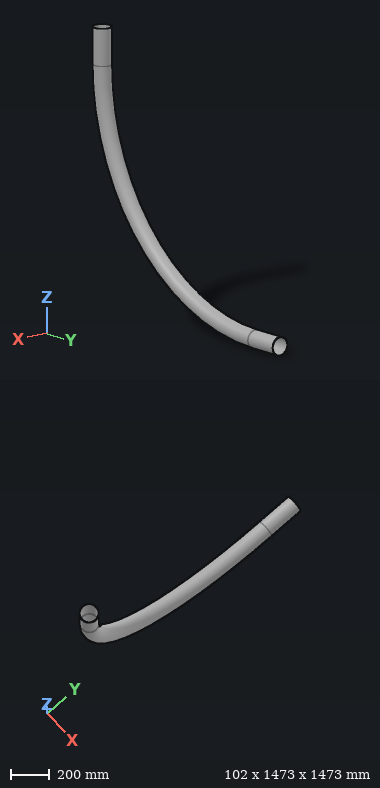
import cadquery as cq

overall_length = 1473.0
outer_diameter = 102.0
inner_diameter = 96.0
straight_length = 200.0

bend_radius = overall_length - straight_length - outer_diameter / 2
leg_length = bend_radius + straight_length


def elbow_path():
    """Centre line in the YZ plane: down the vertical leg, round the bend, out along +Y."""
    return (
        cq.Workplane("YZ")
        .moveTo(0, leg_length)
        .lineTo(0, bend_radius)
        .radiusArc((bend_radius, 0), -bend_radius)
        .lineTo(leg_length, 0)
    )


pipe_section = (
    cq.Workplane("XY", origin=(0, 0, leg_length))
    .circle(outer_diameter / 2)
    .circle(inner_diameter / 2)
)
result = pipe_section.sweep(elbow_path())